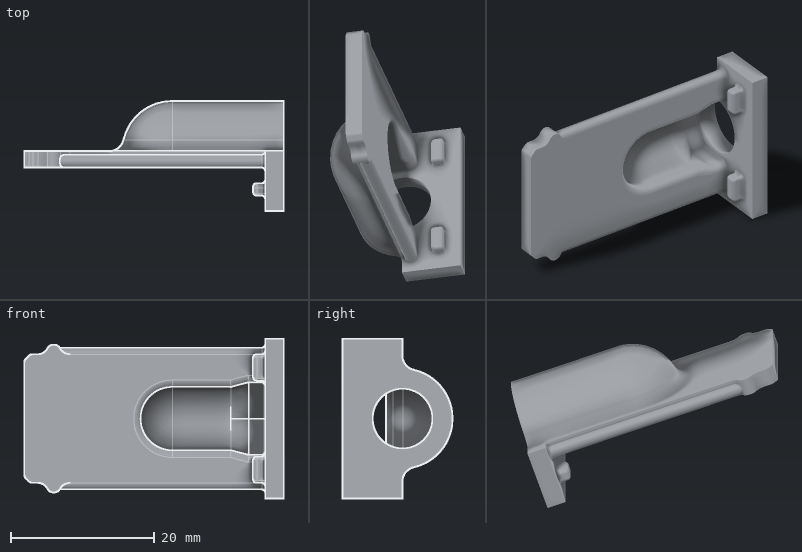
import cadquery as cq
import math


LENGTH = 36.27
FLANGE_THICKNESS = 2.6
FLANGE_HEIGHT = 22.35
FLANGE_DEPTH = 8.4
FLANGE_FACE_X = LENGTH - FLANGE_THICKNESS

PLATE_THICKNESS = 2.32
PLATE_HALF_HEIGHT = 9.0
CORNER_CHAMFER = 0.87
CORNER_BLEND_RADIUS = 0.73
BEAD_RADIUS = 0.9
BEAD_CENTER_Y = BEAD_RADIUS - PLATE_THICKNESS

BUMP_X = 4.15
BUMP_RISE = 1.35
BUMP_CREST_RADIUS = 1.0
BUMP_FOOT_RADIUS = 1.5

DOME_RADIUS = 7.0
DOME_FOOT_RADIUS = 2.0
DOME_CENTER_X = 20.67
POCKET_RADIUS = 4.42
LIP_RADIUS = 0.98
FLARE_START_X = 28.87
FLARE_END_X = 31.37
NUT_HALF_WIDTH = 5.08
NUT_CORNER = NUT_HALF_WIDTH / math.cos(math.pi / 6)
SCREW_HOLE_RADIUS = 4.17

NUB_LENGTH = 1.7
NUB_WIDTH = 1.75
NUB_HEIGHT = 3.65
NUB_Y = -5.35
NUB_Z = 7.15
NUB_TIP_ROUND = 0.5
NUB_SIDE_ROUND = 0.33
NUB_OUTER_ROUND = 0.65

JOINT_FILLET = 0.5
SEAT_FILLET = 0.2

TOLERANCE = 0.005


def edges_within(x_range, y_range, z_limit):
    """Selector for edges whose center lies in a box that is symmetric about Z = 0."""
    low = (x_range[0] - TOLERANCE, y_range[0] - TOLERANCE, -z_limit)
    high = (x_range[1] + TOLERANCE, y_range[1] + TOLERANCE, z_limit)
    return cq.selectors.BoxSelector(low, high)


def make_plate():
    """Flat plate whose outline carries the blended end chamfers and the two bumps."""
    reach = BUMP_CREST_RADIUS + BUMP_FOOT_RADIUS
    angle = math.acos(1 - BUMP_RISE / reach)
    half_run = reach * math.sin(angle)
    crest_z = PLATE_HALF_HEIGHT + BUMP_RISE
    crest_run = BUMP_CREST_RADIUS * math.sin(angle)
    crest_end_z = crest_z - BUMP_CREST_RADIUS * (1 - math.cos(angle))
    foot_mid_run = half_run - BUMP_FOOT_RADIUS * math.sin(angle / 2)
    foot_mid_z = PLATE_HALF_HEIGHT + BUMP_FOOT_RADIUS * (1 - math.cos(angle / 2))

    upper_half = (
        cq.Workplane("XZ")
        .lineTo(0, PLATE_HALF_HEIGHT - CORNER_CHAMFER)
        .lineTo(CORNER_CHAMFER, PLATE_HALF_HEIGHT)
        .lineTo(BUMP_X - half_run, PLATE_HALF_HEIGHT)
        .threePointArc((BUMP_X - foot_mid_run, foot_mid_z), (BUMP_X - crest_run, crest_end_z))
        .threePointArc((BUMP_X, crest_z), (BUMP_X + crest_run, crest_end_z))
        .threePointArc((BUMP_X + foot_mid_run, foot_mid_z), (BUMP_X + half_run, PLATE_HALF_HEIGHT))
        .lineTo(FLANGE_FACE_X, PLATE_HALF_HEIGHT)
        .lineTo(FLANGE_FACE_X, 0)
        .close()
        .extrude(PLATE_THICKNESS)
    )
    plate = upper_half.union(upper_half.mirror("XY")).clean()
    mid_thickness = (-PLATE_THICKNESS / 2, -PLATE_THICKNESS / 2)
    chamfer_edges = edges_within((0, CORNER_CHAMFER), mid_thickness, FLANGE_HEIGHT)
    return plate.edges(chamfer_edges).fillet(CORNER_BLEND_RADIUS)


def make_bead(side):
    """Round bar sunk halfway into the plate's edge, from the bump to the flange."""
    return (
        cq.Workplane("YZ", origin=(BUMP_X, BEAD_CENTER_Y, side * PLATE_HALF_HEIGHT))
        .circle(BEAD_RADIUS)
        .extrude(FLANGE_FACE_X - BUMP_X)
    )


def middle_cross_section():
    """Workplane across the plate at the dome's center: local x runs along -Z, local y along +Y."""
    return cq.Workplane(cq.Plane(origin=(DOME_CENTER_X, 0, 0), xDir=(0, 0, -1), normal=(1, 0, 0)))


def make_dome():
    """Half-round tunnel with a spherical end, flared at its foot into the plate's back face."""
    foot_center = math.sqrt((DOME_RADIUS + DOME_FOOT_RADIUS) ** 2 - DOME_FOOT_RADIUS**2)
    foot_angle = math.asin(DOME_FOOT_RADIUS / (DOME_RADIUS + DOME_FOOT_RADIUS))
    joint = (DOME_RADIUS * math.cos(foot_angle), DOME_RADIUS * math.sin(foot_angle))
    mid_angle = (foot_angle + math.pi / 2) / 2
    dome_mid = (DOME_RADIUS * math.cos(mid_angle), DOME_RADIUS * math.sin(mid_angle))
    foot_mid_angle = (math.pi / 2 - foot_angle) / 2
    foot_mid = (
        foot_center - DOME_FOOT_RADIUS * math.sin(foot_mid_angle),
        DOME_FOOT_RADIUS * (1 - math.cos(foot_mid_angle)),
    )

    def half_profile():
        return (
            middle_cross_section()
            .lineTo(foot_center, 0)
            .threePointArc(foot_mid, joint)
            .threePointArc(dome_mid, (0, DOME_RADIUS))
            .close()
        )

    half_tunnel = half_profile().extrude(LENGTH - DOME_CENTER_X)
    tunnel = half_tunnel.union(half_tunnel.mirror("XY"))
    end = half_profile().revolve(180, (0, 0), (0, 1))
    return tunnel.union(end)


def make_pocket_parts():
    """Solids to cut away for a round-ended pocket that flares into a half-hexagon nut seat."""
    slant = POCKET_RADIUS * math.sqrt(0.5)

    def round_section(x):
        return (
            cq.Workplane("YZ", origin=(x, 0, 0))
            .moveTo(-PLATE_THICKNESS, -POCKET_RADIUS)
            .lineTo(0, -POCKET_RADIUS)
            .threePointArc((slant, -slant), (POCKET_RADIUS, 0))
            .threePointArc((slant, slant), (0, POCKET_RADIUS))
            .lineTo(-PLATE_THICKNESS, POCKET_RADIUS)
            .close()
        )

    def nut_section(x):
        return (
            cq.Workplane("YZ", origin=(x, 0, 0))
            .moveTo(-PLATE_THICKNESS, -NUT_HALF_WIDTH)
            .lineTo(NUT_CORNER / 2, -NUT_HALF_WIDTH)
            .lineTo(NUT_CORNER, 0)
            .lineTo(NUT_CORNER / 2, NUT_HALF_WIDTH)
            .lineTo(-PLATE_THICKNESS, NUT_HALF_WIDTH)
            .close()
        )

    end = (
        middle_cross_section()
        .moveTo(0, -PLATE_THICKNESS)
        .lineTo(POCKET_RADIUS, -PLATE_THICKNESS)
        .lineTo(POCKET_RADIUS, 0)
        .threePointArc((slant, slant), (0, POCKET_RADIUS))
        .close()
        .revolve(180, (0, 0), (0, 1))
    )
    channel = round_section(DOME_CENTER_X).extrude(FLARE_START_X - DOME_CENTER_X)
    flare_ends = [round_section(FLARE_START_X).wires().val(), nut_section(FLARE_END_X).wires().val()]
    flare = cq.Workplane(cq.Solid.makeLoft(flare_ends, True))
    seat = nut_section(FLARE_END_X).extrude(FLANGE_FACE_X - FLARE_END_X)
    return [end, channel, flare, seat]


def make_flange():
    """End flange, flush with the plate's back face."""
    return cq.Workplane("XY", origin=(FLANGE_FACE_X, -FLANGE_DEPTH, -FLANGE_HEIGHT / 2)).box(
        FLANGE_THICKNESS, FLANGE_DEPTH, FLANGE_HEIGHT, centered=False
    )


def cut_screw_hole(body):
    """Clearance hole through the flange, on the dome's axis."""
    hole = cq.Workplane("YZ", origin=(FLANGE_FACE_X, 0, 0)).circle(SCREW_HOLE_RADIUS)
    return body.cut(hole.extrude(FLANGE_THICKNESS))


def make_upper_nub():
    """Rounded stop block on the flange's inner face; its outer corner next to the plate is rounder."""
    return (
        cq.Workplane("YZ", origin=(FLANGE_FACE_X, NUB_Y, NUB_Z))
        .rect(NUB_WIDTH, NUB_HEIGHT)
        .extrude(-NUB_LENGTH)
        .edges("|X and >Y and >Z")
        .fillet(NUB_OUTER_ROUND)
        .faces("<X")
        .edges()
        .fillet(NUB_TIP_ROUND)
        .edges("|X")
        .edges("<Y or <Z")
        .fillet(NUB_SIDE_ROUND)
    )


def round_pocket_lip(body):
    """Round the pocket's rim on the plate's front face."""
    rim_x = (DOME_CENTER_X - POCKET_RADIUS, FLANGE_FACE_X - 2 * TOLERANCE)
    rim_y = (-PLATE_THICKNESS, -PLATE_THICKNESS)
    return body.edges(edges_within(rim_x, rim_y, NUT_HALF_WIDTH + TOLERANCE)).fillet(LIP_RADIUS)


def fillet_flange_joints(body):
    """Fillet the inner corners where the nubs, the plate and the nut seat meet the flange."""
    face_x = (FLANGE_FACE_X, FLANGE_FACE_X)
    nub_y = (NUB_Y - NUB_WIDTH / 2, NUB_Y + NUB_WIDTH / 2)
    plate_y = (-PLATE_THICKNESS, -2 * TOLERANCE)
    seat_y = (NUT_CORNER / 2, NUT_CORNER)
    joint_z = PLATE_HALF_HEIGHT + BEAD_RADIUS
    body = body.edges(edges_within(face_x, nub_y, joint_z)).fillet(JOINT_FILLET)
    body = body.edges(edges_within(face_x, plate_y, joint_z)).fillet(JOINT_FILLET)
    return body.edges(edges_within(face_x, seat_y, NUT_HALF_WIDTH)).fillet(SEAT_FILLET)


plate = make_plate().union(make_bead(1)).union(make_bead(-1))
body = plate.union(make_dome())
for pocket_part in make_pocket_parts():
    body = body.cut(pocket_part)
body = round_pocket_lip(body)

body = body.union(make_flange())
body = cut_screw_hole(body)
upper_nub = make_upper_nub()
body = body.union(upper_nub).union(upper_nub.mirror("XY"))
result = fillet_flange_joints(body)